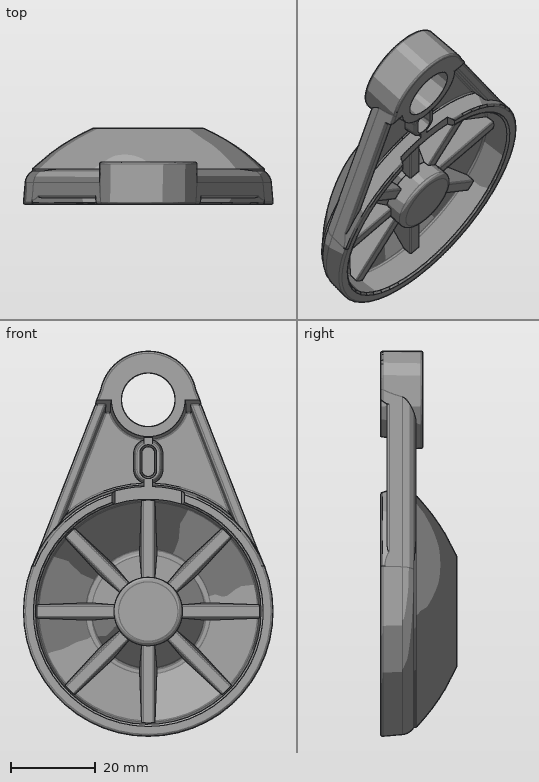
import cadquery as cq
import math

DISC_RADIUS = 29.545
HUB_RADIUS = 11.5
BODY_HUB_RADIUS = 11.4
HUB_Z = 50.0
HUB_DEPTH = 10.0
HOLE_RADIUS = 6.3
TOTAL_DEPTH = 18.0

BODY_DEPTH = 8.4
BODY_DRAFT = 5.0
BODY_BACK_FILLET = 3.6
EDGE_FILLET = 0.5

DOME_BASE_RADIUS = 27.4
DOME_FLAT_RADIUS = 13.0
DOME_BULGE = 0.75
DOME_EDGE_FILLET = 0.5

DISH_MOUTH_RADIUS = 27.15
DISH_MOUTH_FILLET = 0.5
DISH_WALL_RADIUS = 26.1
DISH_WALL_DEPTH = 6.6
DISH_FLOOR_RADIUS = 13.9
DISH_FLOOR_DEPTH = 15.3
DISH_WALL_FILLET = 0.7
DISH_FLOOR_FILLET = 1.0
BOSS_RADIUS = 8.1
BOSS_FRONT = 0.6
BOSS_FILLET = 1.1
CONE_TOP_DEPTH = 6.0

RIB_COUNT = 8
RIB_WIDTH = 3.0
RIB_FRONT = 4.5
RIB_DRAFT = 3.0
RIB_FILLET = 0.35

FLANGE_FRONT = 1.5
FLANGE_WIDTH = 2.6
FLANGE_FILLET = 0.5
WEB_FRONT = 4.5
WEB_FILLET = 0.4
WALL_DRAFT = 9.0
RIM_OUTER_RADIUS = 29.3
COLLAR_RADIUS = 8.7
HUB_STEP_RUN = 1.0
NOTCH_HALF_WIDTH = 7.8
NOTCH_SIDE_RUN = 0.8

EYELET_Z = 35.4
EYELET_LENGTH = 9.6
EYELET_WIDTH = 6.0
EYELET_FILLET = 0.4
SLOT_LENGTH = 8.0
SLOT_WIDTH = 4.0
SLOT_BOTTOM = 7.0
SLOT_DRAFT = 5.0
TIE_WIDTH = 2.0

PICK_MARGIN = 0.01


def front_plane(depth):
    """Workplane parallel to XZ at the given depth; a negative extrusion goes towards +Y."""
    return cq.Workplane(cq.Plane(origin=(0, depth, 0), xDir=(1, 0, 0), normal=(0, -1, 0)))


def teardrop(plane, disc_radius, hub_radius):
    """Outline made of a disc arc and a hub arc joined by their common tangents."""
    sine = (disc_radius - hub_radius) / HUB_Z
    cosine = math.sqrt(1 - sine**2)
    disc_x, disc_z = disc_radius * cosine, disc_radius * sine
    hub_x, hub_z = hub_radius * cosine, HUB_Z + hub_radius * sine
    return (
        plane.moveTo(-disc_x, disc_z)
        .threePointArc((0, -disc_radius), (disc_x, disc_z))
        .lineTo(hub_x, hub_z)
        .threePointArc((0, HUB_Z + hub_radius), (-hub_x, hub_z))
        .close()
    )


def cylinder(radius, start, end, z=0.0, draft=0.0):
    """Round bar along Y; a positive draft narrows it towards its end."""
    return front_plane(start).center(0, z).circle(radius).extrude(start - end, taper=draft)


def body():
    """Drafted teardrop plate with rounded front and back edges."""
    plate = teardrop(front_plane(0), DISC_RADIUS, BODY_HUB_RADIUS).extrude(-BODY_DEPTH, taper=BODY_DRAFT)
    return plate.faces(">Y").edges().fillet(BODY_BACK_FILLET).faces("<Y").edges().fillet(EDGE_FILLET)


def hub():
    """Straight hub barrel, standing out behind the body."""
    return cylinder(HUB_RADIUS, 0, HUB_DEPTH, HUB_Z).faces("<Y or >Y").edges().fillet(EDGE_FILLET)


def rim():
    """Front part of the disc."""
    bar = cylinder(RIM_OUTER_RADIUS, 0, WEB_FRONT, draft=-WALL_DRAFT)
    return bar.faces("<Y").edges().fillet(EDGE_FILLET)


def hub_face():
    """Front of the hub: a round collar, and full width above a sloping step."""
    collar = cylinder(COLLAR_RADIUS, 0, WEB_FRONT, HUB_Z, -WALL_DRAFT)
    step_bottom = HUB_Z - HUB_STEP_RUN * WEB_FRONT / FLANGE_FRONT
    cap_top = HUB_Z + 2 * HUB_RADIUS
    cap = (
        cq.Workplane("YZ")
        .polyline([(0, HUB_Z), (WEB_FRONT, step_bottom), (WEB_FRONT, cap_top), (0, cap_top)])
        .close()
        .extrude(DISC_RADIUS, both=True)
    )
    return collar.union(cap)


def front_recess():
    """Space in front of the flanges and of the web between them."""
    tangent_z = DISC_RADIUS * (DISC_RADIUS - BODY_HUB_RADIUS) / HUB_Z
    flange_space = (
        front_plane(0)
        .center(0, (tangent_z + HUB_Z) / 2)
        .rect(3 * DISC_RADIUS, HUB_Z - tangent_z)
        .extrude(-FLANGE_FRONT)
    )
    pocket = teardrop(
        front_plane(FLANGE_FRONT), DISC_RADIUS - FLANGE_WIDTH, HUB_RADIUS - FLANGE_WIDTH
    ).extrude(FLANGE_FRONT - WEB_FRONT, taper=WALL_DRAFT)
    recess = flange_space.union(pocket).cut(rim()).cut(hub_face())
    return recess.faces(">Y").edges().fillet(WEB_FILLET)


def rim_notch():
    """Shallow gap with sloping sides in the front of the rim, next to the eyelet."""
    front_half_width = NOTCH_HALF_WIDTH + NOTCH_SIDE_RUN
    bottom = math.sqrt(DISH_WALL_RADIUS**2 - front_half_width**2)
    return (
        cq.Workplane("XY", origin=(0, 0, bottom))
        .moveTo(-front_half_width, 0)
        .lineTo(front_half_width, 0)
        .lineTo(NOTCH_HALF_WIDTH, FLANGE_FRONT)
        .lineTo(-NOTCH_HALF_WIDTH, FLANGE_FRONT)
        .close()
        .extrude(HUB_Z - HUB_RADIUS - bottom)
    )


def dome():
    """Bulging back of the disc, ending in a flat."""
    run = DOME_BASE_RADIUS - DOME_FLAT_RADIUS
    rise = TOTAL_DEPTH - BODY_DEPTH
    chord = math.hypot(run, rise)
    middle = (
        DOME_FLAT_RADIUS + run / 2 + DOME_BULGE * rise / chord,
        BODY_DEPTH + rise / 2 + DOME_BULGE * run / chord,
    )
    profile = (
        cq.Workplane("XY")
        .moveTo(0, WEB_FRONT)
        .lineTo(DOME_BASE_RADIUS, WEB_FRONT)
        .lineTo(DOME_BASE_RADIUS, BODY_DEPTH)
        .threePointArc(middle, (DOME_FLAT_RADIUS, TOTAL_DEPTH))
        .lineTo(0, TOTAL_DEPTH)
        .close()
    )
    solid = profile.revolve(360, (0, 0, 0), (0, 1, 0))
    return solid.faces(">Y").edges().fillet(DOME_EDGE_FILLET)


def level_ring(depth):
    """Selector for the ring-shaped edges lying at the given depth."""
    return cq.selectors.BoxSelector(
        (-DISC_RADIUS, depth - PICK_MARGIN, -DISC_RADIUS),
        (DISC_RADIUS, depth + PICK_MARGIN, DISC_RADIUS),
        boundingbox=True,
    )


def dish():
    """Hollow of the disc: drafted wall, sloping floor, central cone carrying a round boss."""
    mouth_wall_radius = DISH_MOUTH_RADIUS - DISH_MOUTH_FILLET
    profile = (
        cq.Workplane("XY")
        .moveTo(0, 0)
        .lineTo(DISH_MOUTH_RADIUS, 0)
        .radiusArc((mouth_wall_radius, DISH_MOUTH_FILLET), -DISH_MOUTH_FILLET)
        .lineTo(DISH_WALL_RADIUS, DISH_WALL_DEPTH)
        .lineTo(DISH_FLOOR_RADIUS, DISH_FLOOR_DEPTH)
        .lineTo(BOSS_RADIUS, CONE_TOP_DEPTH)
        .lineTo(BOSS_RADIUS, BOSS_FRONT + BOSS_FILLET)
        .radiusArc((BOSS_RADIUS - BOSS_FILLET, BOSS_FRONT), BOSS_FILLET)
        .lineTo(0, BOSS_FRONT)
        .close()
    )
    hollow = profile.revolve(360, (0, 0, 0), (0, 1, 0))
    hollow = hollow.edges(level_ring(DISH_FLOOR_DEPTH)).fillet(DISH_FLOOR_FILLET)
    return hollow.edges(level_ring(DISH_WALL_DEPTH)).fillet(DISH_WALL_FILLET)


def ribs():
    """Radial ribs, widening towards the dome, trimmed to the dish wall."""
    bar = (
        front_plane(RIB_FRONT)
        .rect(2 * DISC_RADIUS, RIB_WIDTH)
        .extrude(RIB_FRONT - DISH_FLOOR_DEPTH, taper=-RIB_DRAFT)
        .faces("<Y")
        .edges("|X")
        .fillet(RIB_FILLET)
    )
    bars = bar
    for index in range(1, RIB_COUNT // 2):
        bars = bars.union(bar.rotate((0, 0, 0), (0, 1, 0), index * 360 / RIB_COUNT))
    return bars.intersect(dish())


def eyelet():
    """Ring on the web, tied to the hub and to the rim by a narrow rib."""
    depth = WEB_FRONT - FLANGE_FRONT
    ring = (
        front_plane(FLANGE_FRONT)
        .center(0, EYELET_Z)
        .slot2D(EYELET_LENGTH, EYELET_WIDTH, 90)
        .extrude(-depth, taper=-WALL_DRAFT)
        .faces("<Y")
        .edges()
        .fillet(EYELET_FILLET)
    )
    tie_bottom = (DISH_MOUTH_RADIUS + DISC_RADIUS) / 2
    tie_length = HUB_Z - COLLAR_RADIUS - tie_bottom
    tie = cq.Workplane("XY").box(TIE_WIDTH, depth, tie_length, centered=(True, False, False))
    return ring.union(tie.translate((0, FLANGE_FRONT, tie_bottom)))


def eyelet_slot():
    """Blind drafted slot in the middle of the eyelet."""
    return (
        front_plane(FLANGE_FRONT)
        .center(0, EYELET_Z)
        .slot2D(SLOT_LENGTH, SLOT_WIDTH, 90)
        .extrude(FLANGE_FRONT - SLOT_BOTTOM, taper=SLOT_DRAFT)
    )


def rounded_flanges(plate):
    """Rounds the straight edges at the front level of both flanges."""
    flange_level = cq.selectors.BoxSelector(
        (-DISC_RADIUS, FLANGE_FRONT - PICK_MARGIN, 0),
        (DISC_RADIUS, FLANGE_FRONT + PICK_MARGIN, HUB_Z),
        boundingbox=True,
    )
    return plate.edges(flange_level).edges("%LINE").fillet(FLANGE_FILLET)


plate = rounded_flanges(body().union(hub()).cut(front_recess()))
result = (
    plate.cut(rim_notch())
    .union(dome())
    .union(eyelet())
    .cut(eyelet_slot())
    .cut(dish())
    .union(ribs())
    .cut(cylinder(HOLE_RADIUS, 0, HUB_DEPTH, HUB_Z))
)